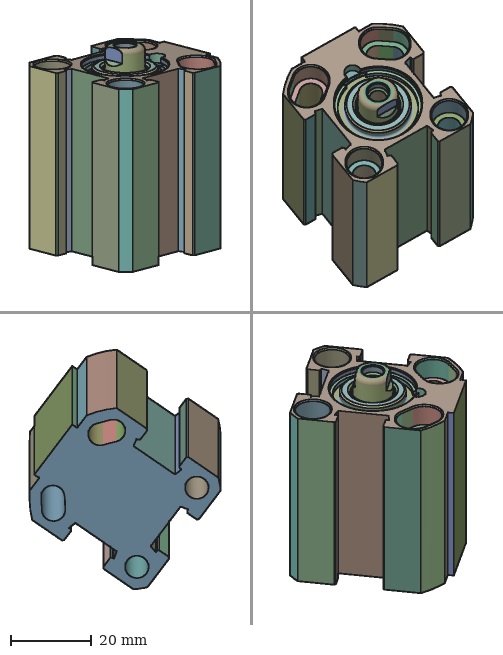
import cadquery as cq
import math


housing_height = 47.0
housing_width = 36.0
half_width = housing_width / 2
back_y = 20.5
tab_y = 22.0
tab_width = 16.1
corner_radius = 23.75

slot_mouth = 6.0
slot_undercut = 6.85
slot_floor = 6.35
slot_depth = 5.6
slot_lip = 3.65
slot_edge = 0.35

hole_offset = 12.75
hole_diameter = 5.8
counterbore_diameter = 8.8
counterbore_depth = 5.6
counterbore_chamfer = 0.35
long_hole_shift_x = 2.7
long_hole_shift_y = 2.2

bore_diameter = 21.6
bore_depth = 11.45
bore_chamfer = 0.25
groove_diameter = 22.8
groove_top_depth = 1.4
groove_floor_depth = 2.7

relief_diameter = 4.15
relief_y = 11.25
relief_depth = 2.45

ring_inner_diameter = 20.0
ring_thickness = 1.1
gap_inner_half = 2.8
gap_inner_y = 9.55

boss_diameter = 16.5
boss_foot_radius = 0.45
flange_chamfer = 0.2
boss_top_depth = 0.45
boss_chamfer = 0.45
recess_diameter = 11.4
recess_depth = 3.0
recess_chamfer = 0.55

wiper_inner_diameter = 10.5
wiper_tip_depth = 0.6
wiper_rim_depth = 0.9

rod_diameter = 10.0
total_height = 52.0
rod_edge_radius = 1.35
flat_width = 8.0
flat_bottom_height = 1.5
thread_diameter = 5.25
thread_depth = 1.9
thread_chamfer = 0.285
drill_diameter = 4.15
drill_depth = 10.4
drill_point_angle = 118.0

bore_floor_z = housing_height - bore_depth
groove_top_z = housing_height - groove_top_depth
cover_flange_z = housing_height - groove_floor_depth
ring_top_z = cover_flange_z + ring_thickness
boss_top_z = housing_height - boss_top_depth
recess_floor_z = boss_top_z - recess_depth


def cylinder(diameter, bottom, top):
    return cq.Workplane("XY").workplane(offset=bottom).circle(diameter / 2).extrude(top - bottom)


def turned(half_profile):
    """Revolve (radius, height) points about the Z axis."""
    return cq.Workplane("XZ").polyline(half_profile).close().revolve(360, (0, 0), (0, 1))


def housing_blank():
    body = (
        cq.Workplane("XY")
        .moveTo(0, (back_y - half_width) / 2)
        .rect(housing_width, back_y + half_width)
        .extrude(housing_height)
    )
    tab = cq.Workplane("XY").moveTo(0, tab_y / 2).rect(tab_width, tab_y).extrude(housing_height)
    return body.union(tab).intersect(cylinder(2 * corner_radius, 0, housing_height))


def sensor_slot():
    """Undercut slot in the front side, open along the whole height."""
    lip_y = -half_width + slot_lip
    half = [
        (slot_mouth + slot_edge, -half_width),
        (slot_mouth, -half_width + slot_edge),
        (slot_mouth, lip_y - slot_edge),
        (slot_mouth + slot_edge, lip_y),
        (slot_undercut, lip_y),
        (slot_floor, -half_width + slot_depth),
    ]
    mirrored = [(-x, y) for x, y in reversed(half)]
    return cq.Workplane("XY").polyline(half + mirrored).close().extrude(housing_height)


def hole_prism(diameter, run, bottom, top, taper=0):
    """Round hole, or an elongated one when its centre moves by run."""
    start = cq.Workplane("XY").workplane(offset=bottom)
    length = math.hypot(*run)
    if length == 0:
        outline = start.circle(diameter / 2)
    else:
        angle = math.degrees(math.atan2(run[1], run[0]))
        outline = start.center(run[0] / 2, run[1] / 2).slot2D(length + diameter, diameter, angle)
    return outline.extrude(top - bottom, taper=taper)


def mounting_hole(x, y, run):
    """Counterbored through hole whose mouth widens at 45 degrees."""
    floor_z = housing_height - counterbore_depth
    mouth_z = housing_height - counterbore_chamfer
    through = hole_prism(hole_diameter, run, 0, floor_z)
    counterbore = hole_prism(counterbore_diameter, run, floor_z, mouth_z)
    mouth = hole_prism(counterbore_diameter, run, mouth_z, housing_height, taper=-45)
    return through.union(counterbore).union(mouth).translate((x, y, 0))


def housing_bore():
    radius = bore_diameter / 2
    return turned([
        (0, bore_floor_z),
        (radius, bore_floor_z),
        (radius, cover_flange_z),
        (groove_diameter / 2, cover_flange_z),
        (groove_diameter / 2, groove_top_z),
        (radius, groove_top_z),
        (radius, housing_height - bore_chamfer),
        (radius + bore_chamfer, housing_height),
        (0, housing_height),
    ])


def make_housing():
    body = housing_blank()
    for angle in (-90, 0, 90):
        body = body.cut(sensor_slot().rotate((0, 0, 0), (0, 0, 1), angle))
    for side in (-1, 1):
        long_run = (-side * long_hole_shift_x, long_hole_shift_y)
        body = body.cut(mounting_hole(side * hole_offset, -hole_offset, (0, 0)))
        body = body.cut(mounting_hole(side * hole_offset, hole_offset, long_run))
    relief = cylinder(relief_diameter, housing_height - relief_depth, housing_height)
    relief = relief.translate((0, relief_y, 0))
    return body.cut(housing_bore()).cut(relief)


def make_ring():
    """Retaining ring whose gap widens outward at 45 degrees on each side."""
    ring = cylinder(groove_diameter, cover_flange_z, ring_top_z)
    ring = ring.cut(cylinder(ring_inner_diameter, cover_flange_z, ring_top_z))
    outer_y = groove_diameter / 2
    apex_y = gap_inner_y - gap_inner_half
    outer_half = outer_y - apex_y
    gap = (
        cq.Workplane("XY")
        .workplane(offset=cover_flange_z)
        .polyline([(0, apex_y), (outer_half, outer_y), (-outer_half, outer_y)])
        .close()
        .extrude(ring_top_z - cover_flange_z)
    )
    return ring.cut(gap)


def make_cover():
    """Flanged sleeve under the ring, with a raised boss around the rod."""
    arc_reach = boss_foot_radius * (1 - math.sqrt(0.5))
    flange_radius = bore_diameter / 2
    boss_radius = boss_diameter / 2
    recess_radius = recess_diameter / 2
    rod_radius = rod_diameter / 2
    profile = (
        cq.Workplane("XZ")
        .moveTo(rod_radius, bore_floor_z)
        .lineTo(flange_radius, bore_floor_z)
        .lineTo(flange_radius, cover_flange_z - flange_chamfer)
        .lineTo(flange_radius - flange_chamfer, cover_flange_z)
        .lineTo(boss_radius + boss_foot_radius, cover_flange_z)
        .threePointArc(
            (boss_radius + arc_reach, cover_flange_z + arc_reach),
            (boss_radius, cover_flange_z + boss_foot_radius),
        )
        .lineTo(boss_radius, boss_top_z - boss_chamfer)
        .lineTo(boss_radius - boss_chamfer, boss_top_z)
        .lineTo(recess_radius + recess_chamfer, boss_top_z)
        .lineTo(recess_radius, boss_top_z - recess_chamfer)
        .lineTo(recess_radius, recess_floor_z)
        .lineTo(rod_radius, recess_floor_z)
        .close()
    )
    return profile.revolve(360, (0, 0), (0, 1))


def make_wiper():
    """Ring in the recess of the cover, its top sloping down away from the rod."""
    inner_radius = wiper_inner_diameter / 2
    outer_radius = recess_diameter / 2
    return turned([
        (inner_radius, recess_floor_z),
        (outer_radius, recess_floor_z),
        (outer_radius, boss_top_z - wiper_rim_depth),
        (inner_radius, boss_top_z - wiper_tip_depth),
    ])


def wrench_flat():
    """Cutter for the front flat, whose lower end slopes outward at 45 degrees."""
    flat_y = -flat_width / 2
    bottom_z = housing_height + flat_bottom_height
    reach = rod_diameter / 2
    section = [
        (flat_y, total_height),
        (flat_y, bottom_z),
        (flat_y - reach, bottom_z - reach),
        (flat_y - reach, total_height),
    ]
    return cq.Workplane("YZ").polyline(section).close().extrude(reach, both=True)


def rod_socket():
    """Chamfered entry bore that narrows to a drilled hole with a conical end."""
    thread_radius = thread_diameter / 2
    drill_radius = drill_diameter / 2
    thread_end_z = total_height - thread_depth
    drill_end_z = total_height - drill_depth
    point_height = drill_radius / math.tan(math.radians(drill_point_angle / 2))
    return turned([
        (0, drill_end_z - point_height),
        (drill_radius, drill_end_z),
        (drill_radius, thread_end_z - (thread_radius - drill_radius)),
        (thread_radius, thread_end_z),
        (thread_radius, total_height - thread_chamfer),
        (thread_radius + thread_chamfer, total_height),
        (0, total_height),
    ])


def make_rod():
    rod = cylinder(rod_diameter, bore_floor_z, total_height)
    rod = rod.faces(">Z").edges().fillet(rod_edge_radius)
    for angle in (0, 180):
        rod = rod.cut(wrench_flat().rotate((0, 0, 0), (0, 0, 1), angle))
    return rod.cut(rod_socket())


housing = make_housing()
ring = make_ring()
cover = make_cover()
wiper = make_wiper()
rod = make_rod()

result = cq.Compound.makeCompound(
    [housing.val(), ring.val(), cover.val(), wiper.val(), rod.val()]
)